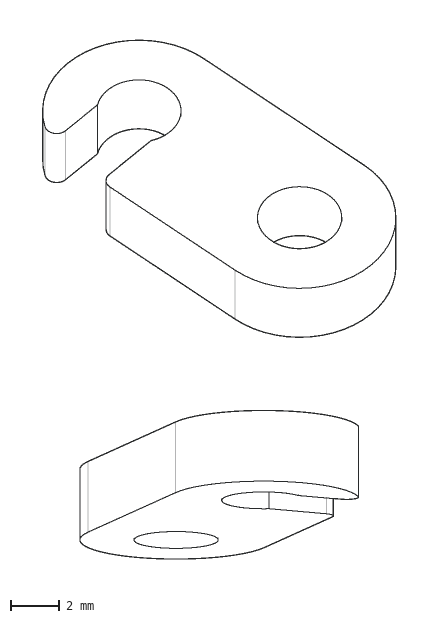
import cadquery as cq

length = 17.0
width = 8.0
thickness = 3.0
hole_diameter = 3.5
slot_width = 3.0
mouth_fillet = 0.5

end_radius = width / 2
hole_spacing = length - width
hook_x = -hole_spacing / 2
eye_x = hole_spacing / 2


def link_body():
    """Flat plate with two full-round ends."""
    return cq.Workplane("XY").slot2D(length, width).extrude(thickness)


def round_holes():
    """Cutters for the hook seat and the closed eye, through the full thickness."""
    centres = [(hook_x, 0), (eye_x, 0)]
    return cq.Workplane("XY").pushPoints(centres).circle(hole_diameter / 2).extrude(thickness)


def entry_slot():
    """Cutter running from the hook seat out through the -Y edge."""
    return (
        cq.Workplane("XY")
        .center(hook_x, -end_radius / 2)
        .rect(slot_width, end_radius)
        .extrude(thickness)
    )


def round_slot_mouth(link):
    """Round the two upright corners where the slot meets the outer edge."""
    mouth_box = cq.selectors.BoxSelector(
        (hook_x - slot_width, -end_radius - mouth_fillet, 0),
        (hook_x + slot_width, -end_radius + 2 * mouth_fillet, thickness),
    )
    return link.edges("|Z").edges(mouth_box).fillet(mouth_fillet)


result = round_slot_mouth(link_body().cut(round_holes()).cut(entry_slot()))